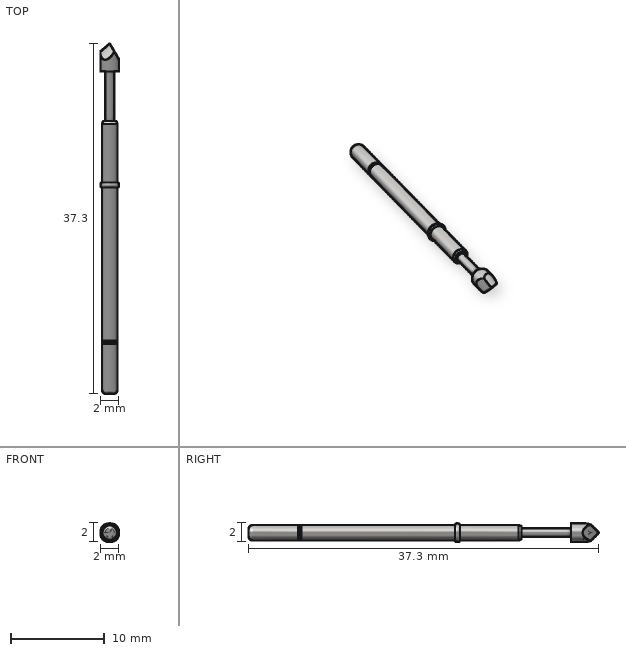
import cadquery as cq
import math

TOTAL_LENGTH = 37.3

BARREL_LENGTH = 29.05
BARREL_RADIUS = 1.68 / 2
TAIL_FLAT_RADIUS = 0.75 / 2
MOUTH_RADIUS = 1.38 / 2
MOUTH_LENGTH = 0.35
GROOVE_START = 5.3
GROOVE_WIDTH = 0.37
GROOVE_RADIUS = 1.53 / 2
COLLAR_CENTER = 22.23
COLLAR_WIDTH = 0.52

HEAD_RADIUS = 2.0 / 2
HEAD_LENGTH = 3.0
HEAD_BACK = TOTAL_LENGTH - HEAD_LENGTH
ROD_RADIUS = 0.97 / 2
TIP_SIDES = 3
TIP_FACE_ANGLE = 30.0

COLLAR_RADIUS = HEAD_RADIUS


def disc_at(y):
    """Workplane across the axis at position y, facing +Y, with local x along +X."""
    return cq.Workplane(cq.Plane(origin=(0, y, 0), xDir=(1, 0, 0), normal=(0, 1, 0)))


def make_barrel():
    """Solid of revolution: rounded tail, V-groove, bulged collar and tapered mouth."""
    tail_round = BARREL_RADIUS - TAIL_FLAT_RADIUS
    tail_mid = (
        TAIL_FLAT_RADIUS + tail_round * math.sin(math.pi / 4),
        tail_round * (1 - math.cos(math.pi / 4)),
    )
    groove_middle = GROOVE_START + GROOVE_WIDTH / 2
    groove_end = GROOVE_START + GROOVE_WIDTH
    collar_start = COLLAR_CENTER - COLLAR_WIDTH / 2
    collar_end = COLLAR_CENTER + COLLAR_WIDTH / 2
    profile = (
        cq.Workplane("XY")
        .lineTo(TAIL_FLAT_RADIUS, 0)
        .threePointArc(tail_mid, (BARREL_RADIUS, tail_round))
        .lineTo(BARREL_RADIUS, GROOVE_START)
        .lineTo(GROOVE_RADIUS, groove_middle)
        .lineTo(BARREL_RADIUS, groove_end)
        .lineTo(BARREL_RADIUS, collar_start)
        .threePointArc((COLLAR_RADIUS, COLLAR_CENTER), (BARREL_RADIUS, collar_end))
        .lineTo(BARREL_RADIUS, BARREL_LENGTH - MOUTH_LENGTH)
        .lineTo(MOUTH_RADIUS, BARREL_LENGTH)
        .lineTo(0, BARREL_LENGTH)
        .close()
    )
    return profile.revolve(360, (0, 0, 0), (0, 1, 0))


def make_tip_pyramid():
    """Three-sided pyramid with its apex on the axis and one edge toward -X."""
    base_inradius = HEAD_LENGTH * math.tan(math.radians(TIP_FACE_ANGLE))
    base_circumradius = base_inradius / math.cos(math.pi / TIP_SIDES)
    apex = cq.Vector(0, TOTAL_LENGTH, 0)
    corners = []
    for i in range(TIP_SIDES):
        angle = math.pi + 2 * math.pi * i / TIP_SIDES
        corners.append(
            cq.Vector(
                base_circumradius * math.cos(angle),
                HEAD_BACK,
                base_circumradius * math.sin(angle),
            )
        )
    faces = [cq.Face.makeFromWires(cq.Wire.makePolygon(corners, close=True))]
    for i in range(TIP_SIDES):
        side = [corners[i], corners[(i + 1) % TIP_SIDES], apex]
        faces.append(cq.Face.makeFromWires(cq.Wire.makePolygon(side, close=True)))
    return cq.Workplane(cq.Solid.makeSolid(cq.Shell.makeShell(faces)))


def make_plunger():
    """Round head cut to a three-sided point, on a rod that meets the barrel mouth."""
    head = disc_at(HEAD_BACK).circle(HEAD_RADIUS).extrude(HEAD_LENGTH).intersect(make_tip_pyramid())
    rod = disc_at(BARREL_LENGTH).circle(ROD_RADIUS).extrude(HEAD_BACK - BARREL_LENGTH)
    return head.union(rod)


barrel = make_barrel()
plunger = make_plunger()

result = cq.Compound.makeCompound([barrel.val(), plunger.val()])